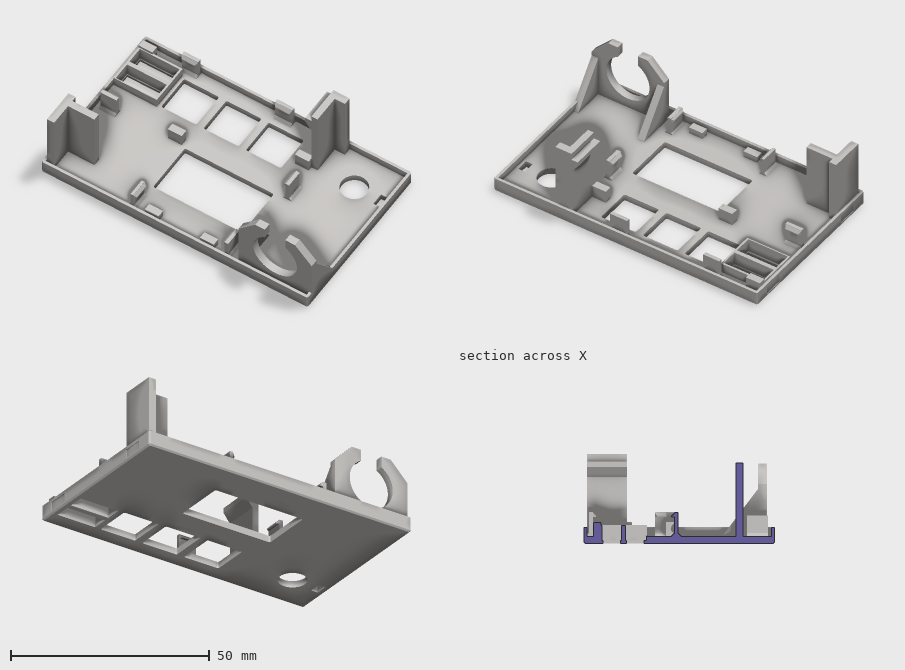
import cadquery as cq

length = 80.0
width = 48.0
rim_height = 4.1
floor_top = 1.8
wall = 0.8
edge_chamfer = 0.4
overlap = 0.4

window_size = 10.6
window_pitch = 12.7
window_count = 3
first_window_x = 14.7
window_y = 32.6
display_x = 27.0
display_y = 10.1
display_length = 26.7
display_width = 14.6
window_corner_radius = 0.5
round_hole_diameter = 7.5
round_hole_center = (69.5, 37.6)
small_slot_x = 76.4
small_slot_y = 35.8
small_slot_length = 2.0
small_slot_width = 3.5

frame_right = 13.8
frame_front = 32.0
frame_back = 43.9
frame_top = 4.6
pocket_left = 1.4
pocket_right = 13.3
pocket_floor = 0.8
pocket_spans_y = ((32.3, 37.4), (38.6, 43.4))
slot_inset = 0.2
slot_width = 4.3

recess_depth = 0.2
recess_width = 5.8
recess_bottom = 0.8
recess_top = 3.3
recess_starts_y = (4.7, 37.8)

block_length = 4.2
block_width = 2.1
tall_block_top = 5.4
low_block_top = 3.7
tall_block_corners = ((21.6, 25.2), (52.8, 35.8), (wall, 43.6))
low_block_corners = ((30.0, 1.7), (46.6, 1.7))

tall_clip_top = 7.8
low_clip_top = 7.0
clip_thickness = 1.0
thin_clip_thickness = 0.8
clip_length = 4.9
long_clip_length = 5.2
clip_reach = 0.8
short_clip_reach = 0.6
hook_drop = 0.1
hook_depth = 1.2
hook_end_taper = 0.5

t_post_top = 20.3
t_plate_thickness = 2.2
t_plate_front = 1.4
t_plate_back = 11.4
t_web_right = 10.9
t_web_front = 7.8
t_web_thickness = 2.0

latch_top = 22.5
latch_x = 57.0
latch_thickness = 1.8
latch_front = 37.1
latch_flange_right = 61.8
latch_flange_thickness = 2.2
latch_hook_reach = 1.9
latch_hook_top = 20.6
latch_nose_bottom = 19.2
latch_ramp_bottom = 16.7

holder_left = 58.0
holder_front = 1.9
holder_thickness = 2.2
holder_top = 20.1
holder_shoulder = 15.0
holder_shoulder_run = 5.0
ring_radius = 6.6
ring_center_z = 11.2
mouth_width = 6.2
gusset_thickness = 2.0
gusset_top = 13.8
gusset_back = 13.1


def box(x0, x1, y0, y1, z0, z1):
    """Axis-aligned box between the given limits."""
    return cq.Workplane("XY").box(x1 - x0, y1 - y0, z1 - z0, centered=False).translate((x0, y0, z0))


def tray():
    outer = box(0, length, 0, width, 0, rim_height)
    outer = outer.edges("|Z").chamfer(edge_chamfer)
    outer = outer.faces("<Z").edges().chamfer(edge_chamfer)
    return outer.cut(box(wall, length - wall, wall, width - wall, floor_top, rim_height))


def rounded_window(x, y, size_x, size_y):
    return box(x, x + size_x, y, y + size_y, 0, floor_top).edges("|Z").fillet(window_corner_radius)


def floor_openings():
    cutter = rounded_window(display_x, display_y, display_length, display_width)
    for i in range(window_count):
        x = first_window_x + i * window_pitch
        cutter = cutter.union(rounded_window(x, window_y, window_size, window_size))
    hole = cq.Workplane("XY").center(*round_hole_center).circle(round_hole_diameter / 2).extrude(floor_top)
    slot = box(
        small_slot_x, small_slot_x + small_slot_length,
        small_slot_y, small_slot_y + small_slot_width,
        0, floor_top,
    )
    return cutter.union(hole).union(slot)


def slot_frame():
    return box(wall, frame_right, frame_front, frame_back, pocket_floor, frame_top)


def frame_slots():
    """Pockets with a narrower through slot; each slot keeps to the back of its pocket."""
    cutter = cq.Workplane("XY")
    for front, back in pocket_spans_y:
        slot_back = back - slot_inset
        pocket = box(pocket_left, pocket_right, front, back, pocket_floor, frame_top)
        slot = box(
            pocket_left + slot_inset, pocket_right - slot_inset,
            slot_back - slot_width, slot_back,
            0, pocket_floor,
        )
        cutter = cutter.add(pocket.union(slot))
    return cutter.combine()


def wall_recesses():
    cutter = cq.Workplane("XY")
    for y in recess_starts_y:
        cutter = cutter.add(box(0, recess_depth, y, y + recess_width, recess_bottom, recess_top))
    return cutter.combine()


def stop_block(corner, top):
    x, y = corner
    return box(x, x + block_length, y, y + block_width, floor_top - overlap, top)


def snap_clip(center, angle, top, clip_len, thickness=clip_thickness,
              reach=clip_reach, back_reach=clip_reach):
    """Clip plate with sloped feet; at angle 0 the hook points to +X. The center is the plate's."""
    half = thickness / 2
    base = floor_top - overlap
    plate = box(-half, half, -clip_len / 2, clip_len / 2, base, top)
    feet = (
        cq.Workplane("XZ")
        .moveTo(-half - back_reach, base)
        .lineTo(-half - back_reach, floor_top)
        .lineTo(-half, floor_top + back_reach)
        .lineTo(half, floor_top + reach)
        .lineTo(half + reach, floor_top)
        .lineTo(half + reach, base)
        .close()
        .extrude(clip_len / 2, both=True)
    )
    ramp_start = top - hook_drop
    nose_top = ramp_start - reach
    nose_bottom = top - hook_depth
    hook = (
        cq.Workplane("XZ")
        .moveTo(half, ramp_start)
        .lineTo(half + reach, nose_top)
        .lineTo(half + reach, nose_bottom)
        .lineTo(half, nose_bottom)
        .close()
        .extrude(clip_len / 2, both=True)
    )
    tapered_outline = (
        cq.Workplane("XY", origin=(0, 0, nose_bottom))
        .moveTo(half, -clip_len / 2)
        .lineTo(half + reach, -clip_len / 2 + hook_end_taper)
        .lineTo(half + reach, clip_len / 2 - hook_end_taper)
        .lineTo(half, clip_len / 2)
        .close()
        .extrude(top - nose_bottom)
    )
    clip = plate.union(feet).union(hook.intersect(tapered_outline))
    return clip.rotate((0, 0, 0), (0, 0, 1), angle).translate((center[0], center[1], 0))


def snap_clips():
    toward_front = -90
    toward_back = 90
    toward_left = 180
    toward_right = 0
    return [
        snap_clip((14.9, 46.2), toward_front, tall_clip_top, clip_length),
        snap_clip((43.0, 46.2), toward_front, tall_clip_top, long_clip_length),
        snap_clip((4.4, 24.7), toward_back, tall_clip_top, clip_length),
        snap_clip((57.5, 27.6), toward_left, tall_clip_top, clip_length),
        snap_clip((26.2, 4.2), toward_right, low_clip_top, long_clip_length, thickness=thin_clip_thickness),
        snap_clip((54.6, 4.2), toward_left, low_clip_top, long_clip_length, reach=short_clip_reach),
    ]


def t_post():
    base = floor_top - overlap
    plate = box(wall, wall + t_plate_thickness, t_plate_front, t_plate_back, base, t_post_top)
    web = box(wall, t_web_right, t_web_front, t_web_front + t_web_thickness, base, t_post_top)
    return plate.union(web)


def latch_post():
    back = width - wall
    base = floor_top - overlap
    web = box(latch_x, latch_x + latch_thickness, latch_front, back, base, latch_top)
    flange = box(latch_x, latch_flange_right, back - latch_flange_thickness, back, base, latch_top)
    hook = (
        cq.Workplane("XZ", origin=(0, back, 0))
        .moveTo(latch_x, latch_ramp_bottom)
        .lineTo(latch_x - latch_hook_reach, latch_nose_bottom)
        .lineTo(latch_x - latch_hook_reach, latch_hook_top)
        .lineTo(latch_x, latch_hook_top)
        .close()
        .extrude(back - latch_front)
    )
    return web.union(flange).union(hook)


def ring_holder():
    base = floor_top - overlap
    back = holder_front + holder_thickness
    center_x = (holder_left + length) / 2
    plate = (
        cq.Workplane("XZ", origin=(0, back, 0))
        .moveTo(holder_left, base)
        .lineTo(holder_left, holder_shoulder)
        .lineTo(holder_left + holder_shoulder_run, holder_top)
        .lineTo(length - holder_shoulder_run, holder_top)
        .lineTo(length, holder_shoulder)
        .lineTo(length, base)
        .close()
        .extrude(holder_thickness)
    )
    bore = (
        cq.Workplane("XZ", origin=(0, back, 0))
        .center(center_x, ring_center_z)
        .circle(ring_radius)
        .extrude(holder_thickness)
    )
    mouth = box(
        center_x - mouth_width / 2, center_x + mouth_width / 2,
        holder_front, back,
        ring_center_z, holder_top,
    )
    holder = plate.cut(bore).cut(mouth)
    for x in (holder_left, length - gusset_thickness):
        gusset = (
            cq.Workplane("YZ", origin=(x, 0, 0))
            .moveTo(back, base)
            .lineTo(gusset_back, base)
            .lineTo(gusset_back, floor_top)
            .lineTo(back, gusset_top)
            .close()
            .extrude(gusset_thickness)
        )
        holder = holder.union(gusset)
    return holder


result = tray().cut(floor_openings()).union(slot_frame())
for corner in tall_block_corners:
    result = result.union(stop_block(corner, tall_block_top))
for corner in low_block_corners:
    result = result.union(stop_block(corner, low_block_top))
result = result.cut(frame_slots()).cut(wall_recesses())
for clip in snap_clips():
    result = result.union(clip)
result = result.union(t_post()).union(latch_post()).union(ring_holder())